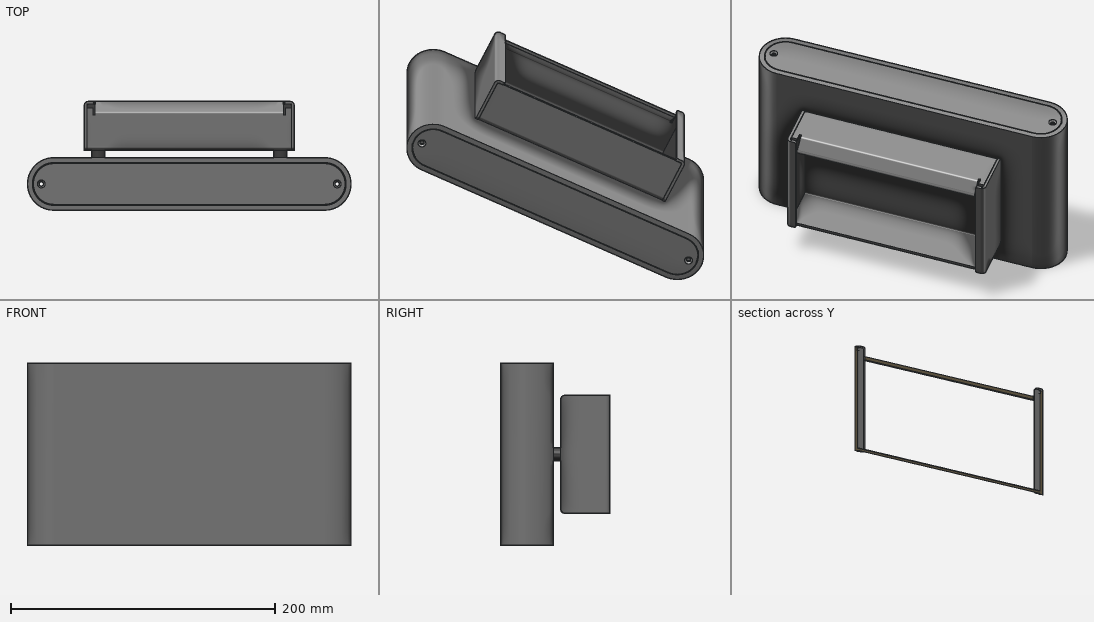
import cadquery as cq
import math

LENGTH = 245.0
HOUSING_DEPTH = 40.0
HOUSING_HEIGHT = 138.0
HOUSING_WALL = 4.0

COVER_GAP = 0.5
COVER_THICKNESS = 3.0
SCREW_SPACING = 224.0
SCREW_DIAMETER = 3.2
COUNTERSINK_DIAMETER = 6.0
COUNTERSINK_ANGLE = 90

SPACER_DIAMETER = 10.0
SPACER_LENGTH = 5.5
SPACER_SPACING = 137.7

TOTAL_DEPTH = 82.5
BOX_WIDTH = 159.0
BOX_HEIGHT = 89.5
SHEET = 2.2
BEND_RADIUS = 3.2
INNER_BEND_RADIUS = BEND_RADIUS - SHEET
FLAP_STEP = 0.7

FLANGE_WIDTH = 7.3
FLANGE_CORNER_RADIUS = 1.5
LIP_WIDTH = 142.5
SLOT_WIDTH = 1.5
SLOT_SETBACK = 10.3
TAB_SETBACK = 5.1
LIP_SETBACK = 9.5
LIP_SLOPE = math.radians(45)

HOUSING_BACK = HOUSING_DEPTH / 2
BOX_FRONT = HOUSING_BACK + SPACER_LENGTH
WALL_PLANE = TOTAL_DEPTH - HOUSING_DEPTH / 2
BOX_TOP = BOX_HEIGHT / 2
CAVITY_WIDTH = BOX_WIDTH - 2 * SHEET
CAVITY_FRONT = BOX_FRONT + SHEET
FLANGE_FACE = WALL_PLANE - SHEET
FLAP_TOP = BOX_TOP - FLAP_STEP
FLAP_UNDERSIDE = FLAP_TOP - SHEET


def stadium(inset, bottom, height):
    """Upright stadium prism, set in from the housing outline."""
    return (
        cq.Workplane("XY", origin=(0, 0, bottom))
        .slot2D(LENGTH - 2 * inset, HOUSING_DEPTH - 2 * inset)
        .extrude(height)
    )


def block(x_size, y_min, y_max, z_min, z_max, x_center=0):
    """Box centred on x_center, given by its Y and Z limits."""
    corner = (x_center - x_size / 2, y_min, z_min)
    return cq.Workplane("XY", origin=corner).box(x_size, y_max - y_min, z_max - z_min, centered=False)


def make_housing():
    outside = stadium(0, -HOUSING_HEIGHT / 2, HOUSING_HEIGHT)
    bore = stadium(HOUSING_WALL, -HOUSING_HEIGHT / 2, HOUSING_HEIGHT)
    return outside.cut(bore)


def make_top_cover():
    bottom = HOUSING_HEIGHT / 2 - COVER_THICKNESS
    return (
        stadium(HOUSING_WALL + COVER_GAP, bottom, COVER_THICKNESS)
        .faces(">Z")
        .workplane()
        .pushPoints([(-SCREW_SPACING / 2, 0), (SCREW_SPACING / 2, 0)])
        .cskHole(SCREW_DIAMETER, COUNTERSINK_DIAMETER, COUNTERSINK_ANGLE)
    )


def make_cover(side):
    """Cover for the top (side = 1) or the bottom (side = -1) of the housing."""
    cover = make_top_cover()
    return cover if side > 0 else cover.mirror("XY")


def make_spacer(x):
    return (
        cq.Workplane("XZ", origin=(x, HOUSING_BACK, 0))
        .circle(SPACER_DIAMETER / 2)
        .extrude(-SPACER_LENGTH)
    )


def rounded_front_block(width, height):
    """Block of the full box depth whose upper and lower front edges are rounded."""
    body = block(width, BOX_FRONT, WALL_PLANE, -height / 2, height / 2)
    return body.edges("<Y and |X").fillet(BEND_RADIUS)


def box_shell():
    """Hollow sheet box whose side walls stand slightly proud of the top and bottom flaps."""
    shell = rounded_front_block(BOX_WIDTH, BOX_HEIGHT)
    shell = shell.edges(">Y and |Z").fillet(BEND_RADIUS)

    flap_zone = block(CAVITY_WIDTH, BOX_FRONT, FLANGE_FACE, -BOX_TOP, BOX_TOP)
    flap_zone = flap_zone.edges("|Z and >Y").fillet(INNER_BEND_RADIUS)
    shell = shell.cut(flap_zone.cut(rounded_front_block(CAVITY_WIDTH, 2 * FLAP_TOP)))

    cavity = block(CAVITY_WIDTH, CAVITY_FRONT, FLANGE_FACE, -FLAP_UNDERSIDE, FLAP_UNDERSIDE)
    cavity = cavity.edges("|Z and >Y or (|X and <Y)").fillet(INNER_BEND_RADIUS)
    return shell.cut(cavity)


def rear_opening():
    """Opening in the rear sheet between the two rear side bends."""
    return block(BOX_WIDTH - 2 * BEND_RADIUS, FLANGE_FACE, WALL_PLANE, -BOX_TOP, BOX_TOP)


def side_flange(side):
    """Flat part of a rear flange, from its bend to a free edge with rounded corners."""
    flat_width = FLANGE_WIDTH - BEND_RADIUS
    x_center = side * (BOX_WIDTH / 2 - BEND_RADIUS - flat_width / 2)
    flange = block(flat_width, FLANGE_FACE, WALL_PLANE, -BOX_TOP, BOX_TOP, x_center)
    free_corners = "|Y and <X" if side > 0 else "|Y and >X"
    return flange.edges(free_corners).fillet(FLANGE_CORNER_RADIUS)


def top_flap_cutouts():
    """Cuts the rear of the top flap to two short tabs, two slots and the root of the lip."""

    def flap_cut(width, setback, x_center=0):
        return block(width, WALL_PLANE - setback, FLANGE_FACE, FLAP_UNDERSIDE, FLAP_TOP, x_center)

    cutouts = flap_cut(CAVITY_WIDTH, TAB_SETBACK).union(flap_cut(LIP_WIDTH, LIP_SETBACK))
    for side in (-1, 1):
        slot_x = side * (LIP_WIDTH + SLOT_WIDTH) / 2
        cutouts = cutouts.union(flap_cut(SLOT_WIDTH, SLOT_SETBACK, slot_x))
    return cutouts


def top_lip():
    """Lip that bends down from the top flap, slopes to the wall plane and turns parallel to it."""
    first_center = (WALL_PLANE - LIP_SETBACK, FLAP_TOP - BEND_RADIUS)
    second_center_y = WALL_PLANE - BEND_RADIUS
    slope_run = second_center_y - first_center[0]
    second_center = (second_center_y, first_center[1] - slope_run * math.tan(LIP_SLOPE))

    def bend_point(center, radius, angle):
        """Point on a bend where the sheet has turned down by the given angle."""
        return center[0] + radius * math.sin(angle), center[1] + radius * math.cos(angle)

    def bend(center, radius, start, end):
        """Start, middle and end points of a bend."""
        return [bend_point(center, radius, angle) for angle in (start, (start + end) / 2, end)]

    upright = math.pi / 2
    outer_first = bend(first_center, BEND_RADIUS, 0, LIP_SLOPE)
    outer_second = bend(second_center, BEND_RADIUS, LIP_SLOPE, upright)
    inner_second = bend(second_center, INNER_BEND_RADIUS, upright, LIP_SLOPE)
    inner_first = bend(first_center, INNER_BEND_RADIUS, LIP_SLOPE, 0)

    outline = cq.Workplane("YZ", origin=(-LIP_WIDTH / 2, 0, 0)).moveTo(*outer_first[0])
    for start, middle, end in (outer_first, outer_second, inner_second, inner_first):
        if start != outer_first[0]:
            outline = outline.lineTo(*start)
        outline = outline.threePointArc(middle, end)
    return outline.close().extrude(LIP_WIDTH)


def make_wall_box():
    box = box_shell().cut(rear_opening()).cut(top_flap_cutouts()).union(top_lip())
    for side in (-1, 1):
        box = box.union(side_flange(side))
    return box


housing = make_housing()
covers = [make_cover(side) for side in (1, -1)]
spacers = [make_spacer(side * SPACER_SPACING / 2) for side in (-1, 1)]
wall_box = make_wall_box()

result = cq.Compound.makeCompound(
    [
        housing.val(),
        *[cover.val() for cover in covers],
        *[spacer.val() for spacer in spacers],
        wall_box.val(),
    ]
)